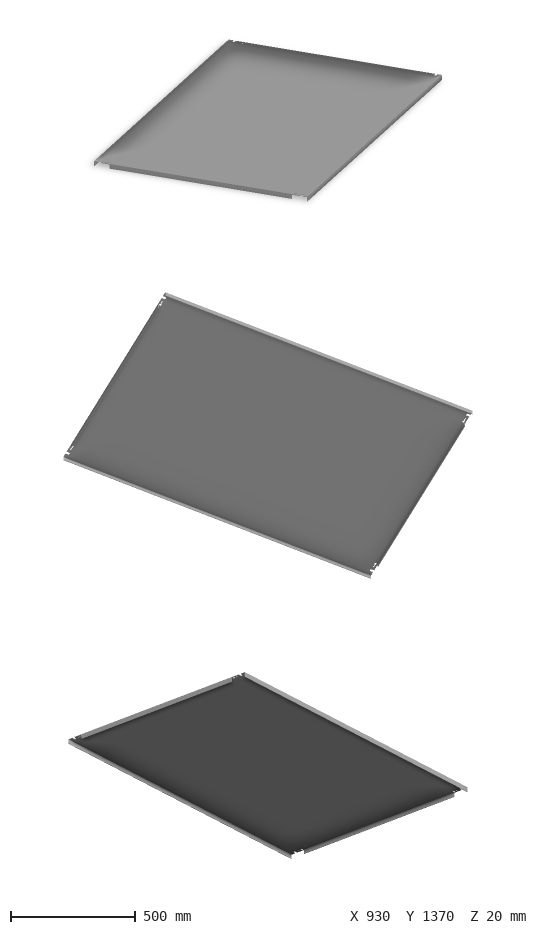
import cadquery as cq

width = 930.0
length = 1370.0
height = 20.0
thickness = 2.5

end_flange_inset = 68.0
end_flange_width = width - 2 * end_flange_inset

notch_inset = 20.0
notch_width = 11.0
notch_depth = 15.0

keyhole_diameter = 10.0
keyhole_inset = 65.0
keyhole_setback = 10.0
slot_inset = 44.0
slot_width = 4.0

sheet_bottom = height - thickness


def at_corners(inset, setback):
    """Workplane under the sheet with one mirrored point near each of the four corners."""
    x = width / 2 - inset
    y = length / 2 - setback
    points = [(side * x, end * y) for side in (-1, 1) for end in (-1, 1)]
    return cq.Workplane("XY").workplane(offset=sheet_bottom).pushPoints(points)


def upright_block(size_x, size_y, size_z):
    """Box centred in X and Y, standing on Z = 0."""
    return cq.Workplane("XY").box(size_x, size_y, size_z, centered=(True, True, False))


def folded_panel():
    """Flat sheet with flanges turned down along both sides and both ends."""
    side_flange = upright_block(thickness, length, height)
    end_flange = upright_block(end_flange_width, thickness, height)
    panel = upright_block(width, length, thickness).translate((0, 0, sheet_bottom))
    for direction in (-1, 1):
        panel = panel.union(side_flange.translate((direction * (width - thickness) / 2, 0, 0)))
        panel = panel.union(end_flange.translate((0, direction * (length - thickness) / 2, 0)))
    return panel


def end_notches():
    """Rectangular notches open to the end edges."""
    centres = at_corners(notch_inset + notch_width / 2, notch_depth / 2)
    return centres.rect(notch_width, notch_depth).extrude(thickness)


def keyholes():
    """Round holes joined to narrow slots parallel to the end edges."""
    slot_length = keyhole_inset - slot_inset
    slot_centres = at_corners(slot_inset + slot_length / 2, keyhole_setback)
    slots = slot_centres.rect(slot_length, slot_width).extrude(thickness)
    hole_centres = at_corners(keyhole_inset, keyhole_setback)
    holes = hole_centres.circle(keyhole_diameter / 2).extrude(thickness)
    return holes.union(slots)


result = folded_panel().cut(end_notches()).cut(keyholes())